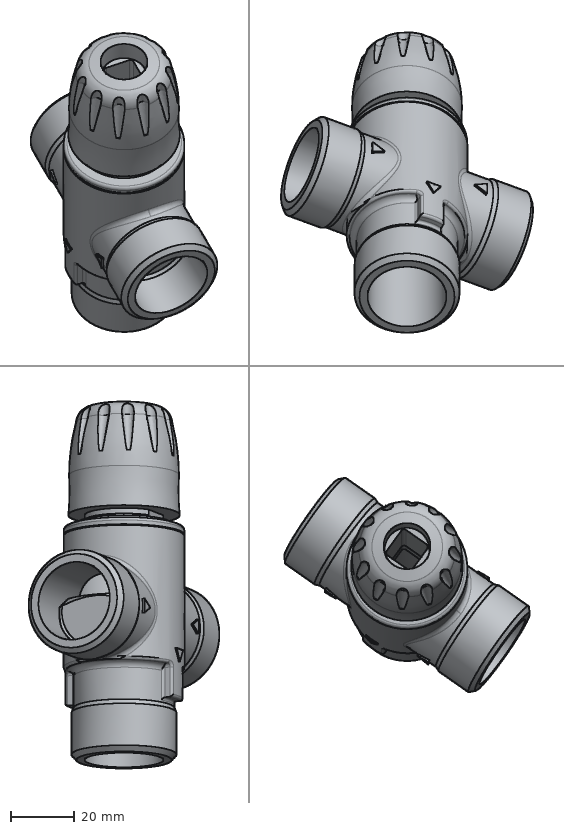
import cadquery as cq
import math

HEIGHT = 113.8
PORT_SPAN = 74.0
TOLERANCE = 0.01

THREAD_R = 16.6
NECK_R = 32.0 / 2
END_R = 15.0
PORT_BORE_R = 24.9 / 2
SIDE_CHAMFER = 1.5
SIDE_THREAD = 13.0
BOTTOM_CHAMFER = 1.7
BOTTOM_THREAD = 15.1
NECK_CONE = 1.5

BARREL_R = 19.1
BARREL_TOP = 72.3
BARREL_CHAMFER = 0.3
PORT_Z = 45.0
LEDGE_Z = PORT_Z - NECK_R
LEDGE_ROUND = 0.9
LEDGE_FILLET = 2.0
PORT_FILLET = 1.7
CHAMBER_R = 15.0
CHAMBER_FLOOR = 49.8

PORT_FLOOR_X = 21.2
PORT_FLOOR_R = 11.7
PORT_TAPER = 1.1
PASSAGE_SLOPE_R = 20.5
PASSAGE_SLOPE_DROP = 3.6
PASSAGE_SLOPE_RUN = 4.5

TONGUE_HALF_WIDTH = 4.1
TONGUE_BOTTOM = 18.2
TONGUE_CORNER = 1.1
TONGUE_FOOT = 0.9

BODY_ARROW_Y = 39.0 / 2
BODY_ARROW_TOP = 34.1
BODY_ARROW_LENGTH = 4.1
BODY_ARROW_HALF = 2.4
PORT_ARROW_Y = THREAD_R
PORT_ARROW_X = 20.0
PORT_ARROW_LENGTH = 4.2
PORT_ARROW_HALF = 2.3
ARROW_ROOT = 2.3

RIM_TOP = 74.7
RIM_ROUND = 1.0
FLANGE_R = 15.0
FLANGE_TOP = 75.9
COLLAR_R = 12.4
COLLAR_FOOT = 1.0
COLLAR_FOOT_R = 13.0
FLAT_HALF = 11.2

CAP_BOTTOM = 78.6
CAP_BOTTOM_R = 17.6
CAP_WAIST_Z = 84.2
CAP_WAIST_R = 17.3
CAP_BELT_Z = 91.5
CAP_BELT_R = 17.4
CAP_SIDE_Z = 100.7
CAP_SIDE_R = 16.7
CAP_SHOULDER_Z = 108.6
CAP_SHOULDER_R = 15.2
CAP_ROUND_Z = 111.9
CAP_ROUND_R = 13.5
CAP_CROWN_Z = 113.1
CAP_CROWN_R = 11.2
CAP_HOLE_MOUTH_R = 7.4
CAP_HOLE_FLOOR_R = 7.0
CAP_HOLE_DEPTH = 6.5
SOCKET = 10.0
SOCKET_CORNER = 1.0

GROOVES = 12
GROOVE_R = 1.9
GROOVE_TIP_Z = 96.5
GROOVE_TIP_R = 0.8
GROOVE_TIP_AXIS = 17.8


def cylinder(radius, bottom, top):
    return cq.Workplane("XY").workplane(offset=bottom).circle(radius).extrude(top - bottom)


def along_x(shape, side):
    """Turn a shape built along +Z about the origin to point to +X or -X at port height."""
    return shape.rotate((0, 0, 0), (0, 1, 0), side * 90).translate((0, 0, PORT_Z))


def arrow(points, face_y, side):
    """Triangle in X and Z, raised to a flat face at side * face_y."""
    plate = cq.Workplane("XZ").polyline(points).close().extrude(ARROW_ROOT)
    start = face_y if side > 0 else ARROW_ROOT - face_y
    return plate.translate((0, start, 0))


def core():
    """Barrel, ledge, lower neck and lower threaded end."""
    return (
        cq.Workplane("XZ")
        .moveTo(0, 0)
        .lineTo(END_R, 0)
        .lineTo(THREAD_R, BOTTOM_CHAMFER)
        .lineTo(THREAD_R, BOTTOM_THREAD)
        .lineTo(NECK_R, BOTTOM_THREAD + NECK_CONE)
        .lineTo(NECK_R, LEDGE_Z)
        .lineTo(BARREL_R, LEDGE_Z)
        .lineTo(BARREL_R, BARREL_TOP - BARREL_CHAMFER)
        .lineTo(BARREL_R - BARREL_CHAMFER, BARREL_TOP)
        .lineTo(0, BARREL_TOP)
        .close()
        .revolve(360)
    )


def tongues():
    """Front and back strips that continue the barrel surface down over the neck."""
    top = LEDGE_Z + LEDGE_ROUND
    strip = (
        cq.Workplane("XY")
        .workplane(offset=TONGUE_BOTTOM)
        .rect(2 * TONGUE_HALF_WIDTH, 2 * BARREL_R)
        .extrude(top - TONGUE_BOTTOM)
    )
    return strip.intersect(cylinder(BARREL_R, TONGUE_BOTTOM, top))


def edges_at_radius(shape, radius):
    """Edges of the tongues and the ledge that run along a cylinder about the vertical axis."""

    def runs_along(edge):
        ends = (edge.startPoint(), edge.endPoint())
        on_cylinder = all(abs(math.hypot(p.x, p.y) - radius) < TOLERANCE for p in ends)
        z = edge.Center().z
        in_range = TONGUE_BOTTOM - TOLERANCE < z < LEDGE_Z + TOLERANCE
        is_seam = edge.geomType() == "LINE" and abs(edge.Center().y) < TOLERANCE
        return on_cylinder and in_range and not is_seam

    return shape.newObject([edge for edge in shape.edges().vals() if runs_along(edge)])


def ledge_fillet():
    """Ring with a concave quarter round between the ledge and the lower neck."""
    return (
        cq.Workplane("XZ")
        .moveTo(0, LEDGE_Z)
        .lineTo(NECK_R + LEDGE_FILLET, LEDGE_Z)
        .radiusArc((NECK_R, LEDGE_Z - LEDGE_FILLET), -LEDGE_FILLET)
        .lineTo(0, LEDGE_Z - LEDGE_FILLET)
        .close()
        .revolve(360)
    )


def barrel_with_tongues():
    """Core and tongues with their rounded edges."""
    shape = core().union(tongues())
    corners = [
        edge
        for edge in shape.edges("|Y").vals()
        if abs(edge.Center().z - LEDGE_Z) < TOLERANCE
    ]
    shape = shape.newObject(corners).fillet(TONGUE_CORNER)
    shape = edges_at_radius(shape, BARREL_R).fillet(LEDGE_ROUND)
    shape = edges_at_radius(shape, NECK_R).fillet(TONGUE_FOOT)
    return shape.union(ledge_fillet())


def side_port(side):
    """Threaded end and neck of one side port, flared where the neck meets the barrel."""
    end_x = PORT_SPAN / 2
    cone_x = end_x - SIDE_THREAD
    end = (
        cq.Workplane("XZ")
        .moveTo(0, 0)
        .lineTo(NECK_R, 0)
        .lineTo(NECK_R, cone_x - NECK_CONE)
        .lineTo(THREAD_R, cone_x)
        .lineTo(THREAD_R, end_x - SIDE_CHAMFER)
        .lineTo(END_R, end_x)
        .lineTo(0, end_x)
        .close()
        .revolve(360)
    )
    barrel = cylinder(BARREL_R, 0, BARREL_TOP)
    port = barrel.union(along_x(end, side))
    meeting_edge = cq.selectors.BoxSelector(
        (0, -BARREL_R, LEDGE_Z),
        (side * BARREL_R, BARREL_R, PORT_Z + NECK_R),
    )
    port = port.edges(meeting_edge).fillet(PORT_FILLET)
    below_ledge = cylinder(PORT_SPAN, 0, LEDGE_Z).cut(along_x(end, side))
    return port.cut(barrel).cut(below_ledge)


def floor_plug():
    """What is left standing at the bottom of a port bore: flat face with a tapered rim."""
    return (
        cq.Workplane("XZ")
        .lineTo(NECK_R, 0)
        .lineTo(NECK_R, PORT_FLOOR_X + PORT_TAPER)
        .lineTo(PORT_BORE_R, PORT_FLOOR_X + PORT_TAPER)
        .lineTo(PORT_FLOOR_R, PORT_FLOOR_X)
        .lineTo(0, PORT_FLOOR_X)
        .close()
        .revolve(360)
    )


def below_passage():
    """Space under the passage floor, which falls off outward as a cone."""
    slope_end_r = PASSAGE_SLOPE_R + PASSAGE_SLOPE_RUN
    return (
        cq.Workplane("XZ")
        .lineTo(slope_end_r, 0)
        .lineTo(slope_end_r, CHAMBER_FLOOR - PASSAGE_SLOPE_DROP)
        .lineTo(PASSAGE_SLOPE_R, CHAMBER_FLOOR)
        .lineTo(0, CHAMBER_FLOOR)
        .close()
        .revolve(360)
    )


def port_bore(side):
    """Bore of a side port: blind on the right, open to the chamber above its floor on the left."""
    bore = along_x(cylinder(PORT_BORE_R, 0, PORT_SPAN / 2), side)
    plug = along_x(floor_plug(), side)
    if side < 0:
        plug = plug.intersect(below_passage())
    return bore.cut(plug)


def body_arrows():
    """Downward arrows on the front and back of the barrel."""
    tip = (0, BODY_ARROW_TOP - BODY_ARROW_LENGTH)
    base = [(-BODY_ARROW_HALF, BODY_ARROW_TOP), (BODY_ARROW_HALF, BODY_ARROW_TOP)]
    return [arrow([*base, tip], BODY_ARROW_Y, side) for side in (-1, 1)]


def port_arrows(side):
    """Inward arrows on the front and back of a side neck."""
    tip = (side * (PORT_ARROW_X - PORT_ARROW_LENGTH), PORT_Z)
    base = [(side * PORT_ARROW_X, PORT_Z + half) for half in (-PORT_ARROW_HALF, PORT_ARROW_HALF)]
    return [arrow([*base, tip], PORT_ARROW_Y, face) for face in (-1, 1)]


def make_body():
    """Barrel with three threaded ends, the chamber and the bores."""
    body = barrel_with_tongues()
    for side in (-1, 1):
        body = body.union(side_port(side))
        for mark in port_arrows(side):
            body = body.union(mark)
    for mark in body_arrows():
        body = body.union(mark)
    for side in (-1, 1):
        body = body.cut(port_bore(side))
    body = body.cut(cylinder(CHAMBER_R, CHAMBER_FLOOR, BARREL_TOP))
    return body.cut(cylinder(PORT_BORE_R, 0, CHAMBER_FLOOR))


def socket(bottom, top):
    """Square cutter with rounded corners."""
    square = cq.Workplane("XY").workplane(offset=bottom).rect(SOCKET, SOCKET).extrude(top - bottom)
    return square.edges("|Z").fillet(SOCKET_CORNER)


def make_bonnet():
    """Rim on the barrel, flange and a flared collar with two wrench flats."""
    rim = cylinder(BARREL_R, BARREL_TOP, RIM_TOP).faces(">Z").edges().fillet(RIM_ROUND)
    flange = cylinder(FLANGE_R, RIM_TOP, FLANGE_TOP)
    collar = (
        cq.Workplane("XZ")
        .moveTo(0, FLANGE_TOP)
        .lineTo(COLLAR_FOOT_R, FLANGE_TOP)
        .lineTo(COLLAR_R, FLANGE_TOP + COLLAR_FOOT)
        .lineTo(COLLAR_R, CAP_BOTTOM)
        .lineTo(0, CAP_BOTTOM)
        .close()
        .revolve(360)
    )
    between_flats = (
        cq.Workplane("XY")
        .workplane(offset=FLANGE_TOP)
        .rect(2 * COLLAR_FOOT_R, 2 * FLAT_HALF)
        .extrude(CAP_BOTTOM - FLANGE_TOP)
    )
    bonnet = rim.union(flange).union(collar.intersect(between_flats))
    return bonnet.cut(socket(BARREL_TOP, CAP_BOTTOM))


def grip_groove():
    """Cutter for one groove: upright round channel that leans outward and narrows to a tip."""
    upper = cylinder(GROOVE_R, CAP_SHOULDER_Z, HEIGHT).translate((CAP_SHOULDER_R, 0, 0))
    lower = (
        cq.Workplane("XY")
        .workplane(offset=GROOVE_TIP_Z)
        .center(GROOVE_TIP_AXIS, 0)
        .circle(GROOVE_TIP_R)
        .workplane(offset=CAP_SHOULDER_Z - GROOVE_TIP_Z)
        .center(CAP_SHOULDER_R - GROOVE_TIP_AXIS, 0)
        .circle(GROOVE_R)
        .loft(ruled=True)
    )
    return upper.union(lower)


def make_cap():
    """Domed cap with a round hole, a square socket below it and a ring of grip grooves."""
    cap = (
        cq.Workplane("XZ")
        .moveTo(0, CAP_BOTTOM)
        .lineTo(CAP_BOTTOM_R, CAP_BOTTOM)
        .threePointArc((CAP_WAIST_R, CAP_WAIST_Z), (CAP_BELT_R, CAP_BELT_Z))
        .threePointArc((CAP_SIDE_R, CAP_SIDE_Z), (CAP_SHOULDER_R, CAP_SHOULDER_Z))
        .threePointArc((CAP_ROUND_R, CAP_ROUND_Z), (CAP_CROWN_R, CAP_CROWN_Z))
        .lineTo(CAP_HOLE_MOUTH_R, HEIGHT)
        .lineTo(CAP_HOLE_FLOOR_R, HEIGHT - CAP_HOLE_DEPTH)
        .lineTo(0, HEIGHT - CAP_HOLE_DEPTH)
        .close()
        .revolve(360)
    )
    for index in range(GROOVES):
        cap = cap.cut(grip_groove().rotate((0, 0, 0), (0, 0, 1), index * 360 / GROOVES))
    return cap.cut(socket(CAP_BOTTOM, HEIGHT))


body = make_body()
bonnet = make_bonnet()
cap = make_cap()
result = cq.Compound.makeCompound([body.val(), bonnet.val(), cap.val()])